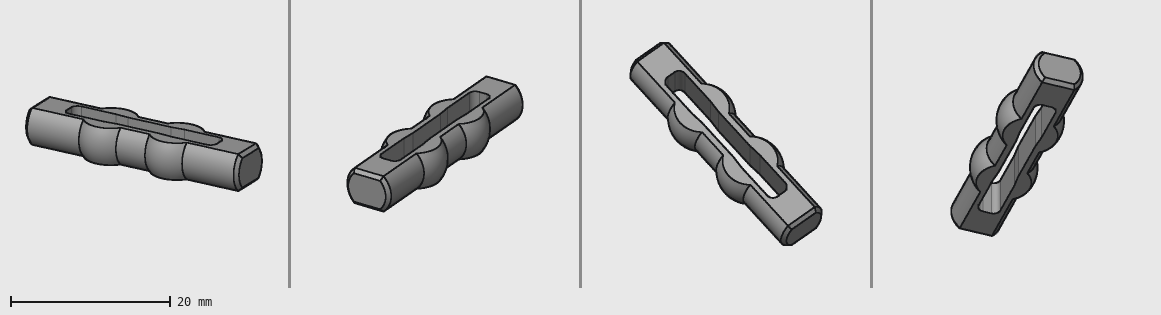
import cadquery as cq

bar_length = 31.25
bar_radius = 3.3
flat_height = 5.0
end_chamfer = 0.5

ball_radius = 4.275
ball_spacing = 9.7

slot_length = 22.0
slot_width = 2.9
slot_corner_radius = 0.9
waist_width = 2.6
waist_length = 6.3
taper_length = 1.85


def make_bar():
    """Flattened rod with both ends chamfered all round."""
    rod = cq.Workplane("YZ").circle(bar_radius).extrude(bar_length / 2, both=True)
    flats = cq.Workplane("XY").box(bar_length, 2 * bar_radius, flat_height)
    return rod.intersect(flats).faces("<X or >X").chamfer(end_chamfer)


def make_ball(center_x):
    """Ball cut level with the flats of the bar."""
    ball = cq.Workplane("XY").sphere(ball_radius)
    flats = cq.Workplane("XY").box(2 * ball_radius, 2 * ball_radius, flat_height)
    return ball.intersect(flats).translate((center_x, 0, 0))


def make_slot_cutter():
    """Long slot with rounded corners, tapering to a narrow waist at mid-length."""
    end_x = slot_length / 2
    waist_x = waist_length / 2
    taper_x = waist_x + taper_length
    wide_y = slot_width / 2
    waist_y = waist_width / 2
    upper_side = [
        (-end_x, wide_y),
        (-taper_x, wide_y),
        (-waist_x, waist_y),
        (waist_x, waist_y),
        (taper_x, wide_y),
        (end_x, wide_y),
    ]
    lower_side = [(x, -y) for x, y in reversed(upper_side)]
    cutter = cq.Workplane("XY").polyline(upper_side + lower_side).close()
    cutter = cutter.extrude(flat_height / 2, both=True)
    return cutter.faces("<X or >X").edges("|Z").fillet(slot_corner_radius)


result = make_bar()
for side in (-1, 1):
    result = result.union(make_ball(side * ball_spacing / 2))
result = result.cut(make_slot_cutter())